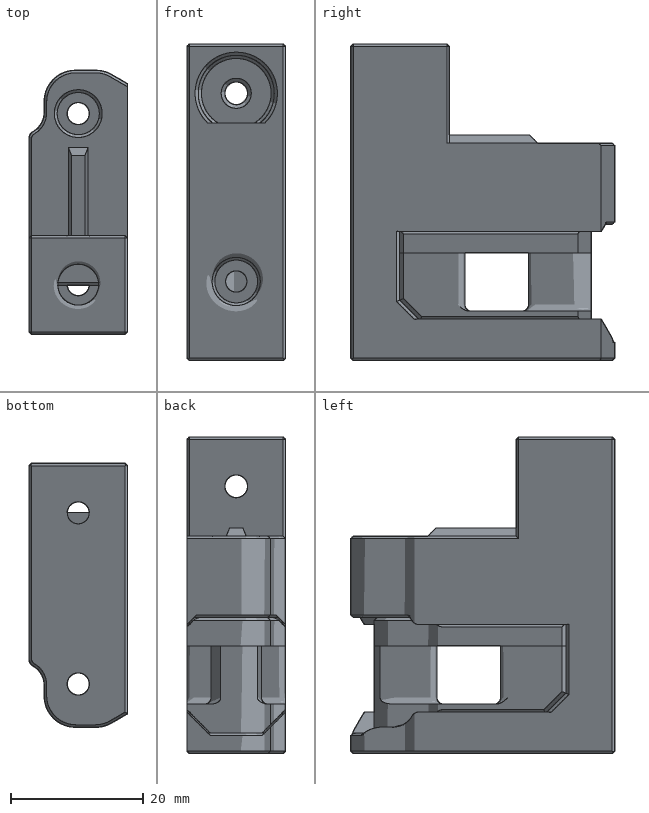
import cadquery as cq
import math

WIDTH = 15.0
LENGTH = 40.05
HEIGHT = 48.0
HEAD_LENGTH = 15.0
ARM_TOP = 33.0
EDGE = 0.4
MID_X = WIDTH / 2

FLANK_END = 29.6
NOSE_INSET = 2.3
COVE_RADIUS = 3.3
BEND_RADIUS = 1.3
NOSE_RADIUS = 4.8
NOSE_SLOPE = 30.0
NOSE_CORNER_Y = 37.95

CHANNEL_FRONT = 7.45
RIM_BOTTOM = 6.35
FLOOR_Z = 3.1
RIM_TOP = 19.55
CEILING_Z = 20.65
CORNER_SUM = 16.6
MOUTH = 0.5

SLIDE = 3.55
SIDE_GAP = 0.35
SLIDER_EDGE = 0.6
LID_EDGE = 0.45
SPLIT_Z = 16.3

WINDOW_FLOOR = 7.55
WINDOW_FRONT = 17.35
WINDOW_ROUND = 1.05
WINDOW_FILLET = 0.9
POST_FRONT = 26.95
POST_RADIUS = 3.85

PIVOT_Y = 33.45
SCREW_D = 3.3
PIVOT_HEAD_D = 6.4
PIVOT_HEAD_DEPTH = 2.05
PIVOT_HEAD_CHAMFER = 0.45

WELL_Y = 7.55
WELL_D = 6.2
WELL_FILLET = 0.6

BORE_Z = 40.5
BORE_D = 11.5
BORE_DEPTH = 12.25
BORE_CHAMFER = 0.5
LIP_THICKNESS = 0.6
LIP_Z = 36.05
END_HOLE_D = 3.4
END_HOLE_CHAMFER = 0.6

DRIVE_Z = 12.0
DRIVE_D = 3.2
DRIVE_SEAT_D = 6.5
DRIVE_MOUTH_D = 7.3
DRIVE_SEAT_DEPTH = 1.65
DRIVE_FILLET = 0.9

RIB_WIDTH = 3.0
RIB_TOP_WIDTH = 2.0
RIB_HEIGHT = 1.25
RIB_END = 28.3

MARGIN = 0.05


def plan_outline(shift):
    """Flat flanks from Y = 0 to a stepped and rounded nose, with the nose moved by -shift in Y."""
    turn = math.acos(1 - NOSE_INSET / (COVE_RADIUS + BEND_RADIUS))
    half = turn / 2
    flank_end = FLANK_END - shift
    bend_mid = (BEND_RADIUS * (1 - math.cos(half)), flank_end + BEND_RADIUS * math.sin(half))
    bend_end = (BEND_RADIUS * (1 - math.cos(turn)), flank_end + BEND_RADIUS * math.sin(turn))
    cove_end = (NOSE_INSET, flank_end + (BEND_RADIUS + COVE_RADIUS) * math.sin(turn))
    cove_mid = (
        NOSE_INSET - COVE_RADIUS * (1 - math.cos(half)),
        cove_end[1] - COVE_RADIUS * math.sin(half),
    )
    tip = LENGTH - shift
    center_y = tip - NOSE_RADIUS
    left_x = NOSE_INSET + NOSE_RADIUS
    diagonal = NOSE_RADIUS * math.sqrt(0.5)
    slope = math.radians(NOSE_SLOPE)
    corner_y = NOSE_CORNER_Y - shift
    slant_y = center_y + NOSE_RADIUS * math.cos(slope)
    slant_x = WIDTH - (slant_y - corner_y) / math.tan(slope)
    right_x = slant_x - NOSE_RADIUS * math.sin(slope)
    slant_mid = (
        right_x + NOSE_RADIUS * math.sin(slope / 2),
        center_y + NOSE_RADIUS * math.cos(slope / 2),
    )
    return (
        cq.Workplane("XY")
        .moveTo(0, 0)
        .lineTo(0, flank_end)
        .threePointArc(bend_mid, bend_end)
        .threePointArc(cove_mid, cove_end)
        .lineTo(NOSE_INSET, center_y)
        .threePointArc((left_x - diagonal, center_y + diagonal), (left_x, tip))
        .lineTo(right_x, tip)
        .threePointArc(slant_mid, (slant_x, slant_y))
        .lineTo(WIDTH, corner_y)
        .lineTo(WIDTH, 0)
        .close()
    )


def cross_section(rim_bottom, rim_top, length):
    """Channel section in XZ, sloping at 45 degrees away from both sides, run from Y = 0."""
    low = rim_bottom - FLOOR_Z
    high = CEILING_Z - rim_top
    points = [
        (0, rim_bottom),
        (low, FLOOR_Z),
        (WIDTH - low, FLOOR_Z),
        (WIDTH, rim_bottom),
        (WIDTH, rim_top),
        (WIDTH - high, CEILING_Z),
        (high, CEILING_Z),
        (0, rim_top),
    ]
    return cq.Workplane("XZ").polyline(points).close().extrude(-length)


def side_outline(inset):
    """YZ points of a block with a 45 degree lower front corner, inset there and oversized elsewhere."""
    front = CHANNEL_FRONT + inset
    corner_sum = CORNER_SUM + inset * math.sqrt(2)
    return [
        (front, HEIGHT),
        (front, corner_sum - front),
        (corner_sum, 0),
        (2 * LENGTH, 0),
        (2 * LENGTH, HEIGHT),
    ]


def side_block(depth, side_inset):
    """Block across the full width; its front and corner slope to an inset over `depth` at both sides."""
    return (
        cq.Workplane("YZ")
        .polyline(side_outline(side_inset)).close()
        .workplane(offset=depth)
        .polyline(side_outline(0)).close()
        .workplane(offset=WIDTH - 2 * depth)
        .polyline(side_outline(0)).close()
        .workplane(offset=depth)
        .polyline(side_outline(side_inset)).close()
        .loft(ruled=True)
    )


def vertical_hole(y, diameter, bottom, top):
    """Cutter for a vertical hole on the middle plane."""
    return cq.Workplane("XY", origin=(MID_X, y, bottom)).circle(diameter / 2).extrude(top - bottom)


def turned_along_y(z, points):
    """Cutter turned from (radius, y) points about the middle line at height z, parallel to Y."""
    profile = cq.Workplane("XY", origin=(MID_X, 0, z)).polyline(points).close()
    return profile.revolve(360, (0, 0, 0), (0, 1, 0))


def housing_blank():
    """Low arm with the stepped nose, and the tall square head at its front."""
    arm = plan_outline(0).extrude(ARM_TOP)
    arm = arm.faces("<Z").edges().chamfer(EDGE)
    arm = arm.edges("|Z and <Y").chamfer(EDGE)
    arm = arm.faces(">Z").edges("not(>X or <Y)").chamfer(EDGE)
    head = cq.Workplane("XY").box(WIDTH, HEAD_LENGTH, HEIGHT, centered=False)
    head = head.edges().chamfer(EDGE)
    return arm.union(head)


def rib():
    """Bar with sloping sides and a 45 degree end, standing on the arm behind the head."""
    length = RIB_END - HEAD_LENGTH + EDGE
    start = RIB_END - length
    return (
        cq.Workplane("XY", origin=(MID_X, start, ARM_TOP))
        .center(0, length / 2)
        .rect(RIB_WIDTH, length)
        .workplane(offset=RIB_HEIGHT)
        .center(0, -RIB_HEIGHT / 2)
        .rect(RIB_TOP_WIDTH, length - RIB_HEIGHT)
        .loft(ruled=True)
    )


def channel():
    """Cutter for the channel, with its front wall and corner flared towards both sides."""
    section = cross_section(RIM_BOTTOM, RIM_TOP, 2 * LENGTH)
    return section.intersect(side_block(MOUTH, -MOUTH))


def bore():
    """Blind bore with chamfered mouth and end, kept above a flat lip at the front."""
    radius = BORE_D / 2
    points = [
        (0, 0),
        (radius + BORE_CHAMFER, 0),
        (radius, BORE_CHAMFER),
        (radius, BORE_DEPTH - BORE_CHAMFER),
        (radius - BORE_CHAMFER, BORE_DEPTH),
        (0, BORE_DEPTH),
    ]
    lip = cq.Workplane("XY").box(WIDTH, LIP_THICKNESS, LIP_Z, centered=False)
    return turned_along_y(BORE_Z, points).cut(lip)


def end_hole():
    """Chamfered hole from the end of the bore to the back of the head."""
    radius = END_HOLE_D / 2
    points = [
        (0, BORE_DEPTH),
        (radius + END_HOLE_CHAMFER, BORE_DEPTH),
        (radius, BORE_DEPTH + END_HOLE_CHAMFER),
        (radius, HEAD_LENGTH),
        (0, HEAD_LENGTH),
    ]
    return turned_along_y(BORE_Z, points)


def drive_hole():
    """Hole from the front face to the channel, with a conical seat and a rounded mouth."""
    mouth = DRIVE_MOUTH_D / 2
    corner = DRIVE_FILLET * (1 - math.sqrt(0.5))
    profile = (
        cq.Workplane("XY", origin=(MID_X, 0, DRIVE_Z))
        .moveTo(0, 0)
        .lineTo(mouth + DRIVE_FILLET, 0)
        .threePointArc((mouth + corner, corner), (mouth, DRIVE_FILLET))
        .lineTo(DRIVE_SEAT_D / 2, DRIVE_SEAT_DEPTH)
        .lineTo(DRIVE_D / 2, DRIVE_SEAT_DEPTH)
        .lineTo(DRIVE_D / 2, CHANNEL_FRONT)
        .lineTo(0, CHANNEL_FRONT)
        .close()
    )
    return profile.revolve(360, (0, 0, 0), (0, 1, 0))


def pivot_hole():
    """Vertical screw hole through the nose, with a chamfered head recess on top."""
    head = vertical_hole(PIVOT_Y, PIVOT_HEAD_D, ARM_TOP - PIVOT_HEAD_DEPTH, ARM_TOP)
    mouth_z = ARM_TOP - PIVOT_HEAD_CHAMFER
    mouth = (
        cq.Workplane("XY", origin=(MID_X, PIVOT_Y, mouth_z))
        .circle(PIVOT_HEAD_D / 2)
        .workplane(offset=PIVOT_HEAD_CHAMFER)
        .circle(PIVOT_HEAD_D / 2 + PIVOT_HEAD_CHAMFER)
        .loft()
    )
    return head.union(mouth).union(vertical_hole(PIVOT_Y, SCREW_D, 0, ARM_TOP))


def well_rim_in_bore():
    """Selector for the curved edge where the well leaves the floor of the bore."""
    reach = WELL_D / 2 + MARGIN
    low = (MID_X - reach, WELL_Y - reach, BORE_Z - BORE_D / 2 - MARGIN)
    high = (MID_X + reach, WELL_Y + reach, BORE_Z)
    return cq.selectors.BoxSelector(low, high, boundingbox=True)


def nose_edges(z):
    """Selector for the horizontal edges at height z around the nose."""
    low = (-MARGIN, PIVOT_Y - MARGIN, z - MARGIN)
    high = (WIDTH + MARGIN, LENGTH + MARGIN, z + MARGIN)
    return cq.selectors.BoxSelector(low, high, boundingbox=True)


def well():
    """Well down to the level of the channel floor, and its screw hole on down to the bottom."""
    wide = vertical_hole(WELL_Y, WELL_D, RIM_BOTTOM, HEIGHT)
    return wide.union(vertical_hole(WELL_Y, SCREW_D, 0, RIM_BOTTOM))


def make_housing():
    """Main body with all its holes and the channel for the slider."""
    body = housing_blank().union(rib())
    body = body.cut(bore())
    body = body.cut(well())
    body = body.faces(">Z").edges("%CIRCLE").fillet(WELL_FILLET)
    body = body.edges(well_rim_in_bore()).fillet(WELL_FILLET)
    body = body.cut(end_hole()).cut(drive_hole()).cut(pivot_hole())
    body = body.cut(channel())
    for z in (FLOOR_Z, CEILING_Z):
        body = body.edges(nose_edges(z)).chamfer(EDGE)
    return body


def slider_blank():
    """Whole slider: the plan outline moved to -Y, trimmed to the channel section and front."""
    blank = plan_outline(SLIDE).extrude(CEILING_Z)
    section = cross_section(RIM_BOTTOM + SIDE_GAP, RIM_TOP - SIDE_GAP, LENGTH)
    return blank.intersect(section).intersect(side_block(SLIDER_EDGE, SLIDER_EDGE))


def layer(bottom, top):
    """Block over the whole plan between two heights."""
    return cq.Workplane("XY", origin=(0, 0, bottom)).box(WIDTH, LENGTH, top - bottom, centered=False)


def window():
    """Rounded loop around the post, from side to side and open at the nose."""
    depth = SPLIT_Z - WINDOW_FLOOR
    base = cq.Workplane("XY", origin=(0, 0, WINDOW_FLOOR))
    front = base.box(WIDTH, WINDOW_FRONT, depth, centered=False)
    front = front.edges("|Z and >Y").fillet(WINDOW_ROUND)
    post = (
        base.moveTo(MID_X - POST_RADIUS, POST_FRONT)
        .lineTo(MID_X - POST_RADIUS, PIVOT_Y)
        .threePointArc((MID_X, PIVOT_Y + POST_RADIUS), (MID_X + POST_RADIUS, PIVOT_Y))
        .lineTo(MID_X + POST_RADIUS, POST_FRONT)
        .close()
        .extrude(depth)
        .edges("|Z and <Y")
        .fillet(WINDOW_ROUND)
    )
    space = base.box(WIDTH, LENGTH, depth, centered=False).cut(front).cut(post)
    return space.faces("<Z").edges("not(<X or >X or >Y)").fillet(WINDOW_FILLET)


def make_carriage():
    """Lower part of the slider, with the window, the post and half of the well in its front."""
    body = slider_blank().intersect(layer(0, SPLIT_Z))
    body = body.cut(window())
    body = body.cut(vertical_hole(WELL_Y, WELL_D, RIM_BOTTOM, SPLIT_Z))
    return body.cut(vertical_hole(PIVOT_Y, SCREW_D, 0, SPLIT_Z))


def make_lid():
    """Upper part of the slider, closing the window."""
    body = slider_blank().intersect(layer(SPLIT_Z, CEILING_Z))
    body = body.faces(">Z").edges().chamfer(LID_EDGE)
    return body.cut(vertical_hole(PIVOT_Y, SCREW_D, 0, CEILING_Z))


housing = make_housing()
carriage = make_carriage()
lid = make_lid()

result = cq.Compound.makeCompound([housing.val(), carriage.val(), lid.val()])